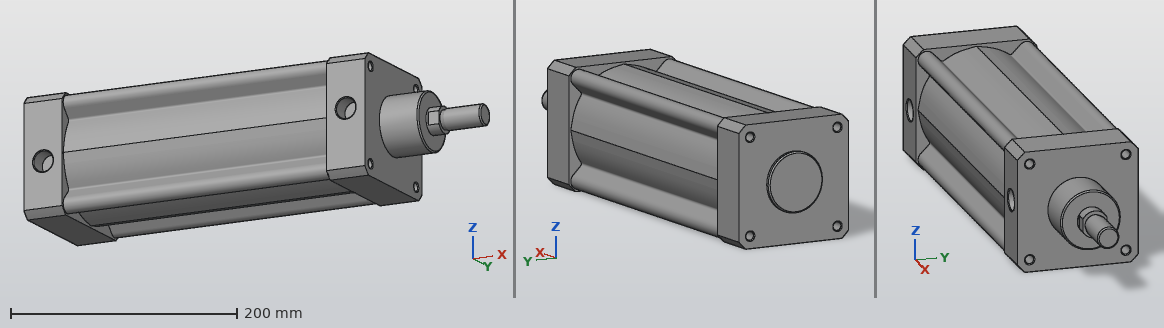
import cadquery as cq
import math


TOTAL_LENGTH = 433.0
REAR_BOSS_LENGTH = 4.0
CAP_THICKNESS = 38.0
REAR_CAP_X = REAR_BOSS_LENGTH
TUBE_START_X = REAR_CAP_X + CAP_THICKNESS
TUBE_END_X = 304.0
FRONT_CAP_END_X = TUBE_END_X + CAP_THICKNESS
NOSE_END_X = 380.5
FLATS_START_X = 382.5
SHANK_END_X = 392.7
NECK_END_X = 394.0
THREAD_START_X = 397.0

CAP_SIDE = 112.0
CAP_CORNER_RADIUS = 74.5
BOSS_RADIUS = 27.5
BOSS_CHAMFER = 1.5

PORT_RADIUS = 9.5
PORT_CHAMFER = 1.0
PORT_DEPTH = 17.5
PORT_OFFSET = 6.0

BOLT_OFFSET = 44.5
BOLT_RADIUS = 4.0
BOLT_CHAMFER = 1.0
BOLT_DEPTH = 17.5

BARREL_RADIUS = 53.3
RIDGE_HALF_WIDTH = 10.0
RIB_REACH = 54.0
RIB_RADIUS = 8.0
RIB_OFFSET = RIB_REACH - RIB_RADIUS
RIB_ROOT_FILLET = 2.0

TOLERANCE = 0.005

SHANK_RADIUS = 12.5
FLAT_WIDTH = 22.0
NECK_RADIUS = 9.0
THREAD_RADIUS = 10.0
THREAD_CHAMFER = 1.5


def disc_along_x(start, end, radius):
    """Round bar on the X axis between two stations."""
    return cq.Workplane("YZ", origin=(start, 0, 0)).circle(radius).extrude(end - start)


def chamfered_hole(origin, direction, radius, chamfer, depth):
    """Cutter for a blind hole with a chamfered mouth, drilled from origin along direction."""
    profile = [
        (0, 0),
        (radius + chamfer, 0),
        (radius, chamfer),
        (radius, depth),
        (0, depth),
    ]
    plane = cq.Plane(origin=origin, xDir=(0, 0, 1), normal=direction)
    cone = cq.Workplane("XZ").polyline(profile).close().revolve(360, (0, 0, 0), (0, 1, 0))
    return cone.val().moved(cq.Location(plane))


def make_cap(start_x, outer_face_x, inward, port_z):
    """Square end cap with corners turned about the X axis, one air port and four mounting holes."""
    cap = (
        cq.Workplane("YZ", origin=(start_x, 0, 0))
        .rect(CAP_SIDE, CAP_SIDE)
        .extrude(CAP_THICKNESS)
        .intersect(disc_along_x(start_x, start_x + CAP_THICKNESS, CAP_CORNER_RADIUS))
    )
    port_mouth = (start_x + CAP_THICKNESS / 2, -CAP_SIDE / 2, port_z)
    cap = cap.cut(chamfered_hole(port_mouth, (0, 1, 0), PORT_RADIUS, PORT_CHAMFER, PORT_DEPTH))
    for y in (-BOLT_OFFSET, BOLT_OFFSET):
        for z in (-BOLT_OFFSET, BOLT_OFFSET):
            mouth = (outer_face_x, y, z)
            cap = cap.cut(chamfered_hole(mouth, (inward, 0, 0), BOLT_RADIUS, BOLT_CHAMFER, BOLT_DEPTH))
    return cap


def make_rear_cap():
    """Rear cap with its short centring boss."""
    cap = make_cap(REAR_CAP_X, REAR_CAP_X, 1, -PORT_OFFSET)
    boss = disc_along_x(0, TUBE_START_X, BOSS_RADIUS).faces("<X").chamfer(BOSS_CHAMFER)
    return cap.union(boss)


def make_front_cap():
    """Front cap with its long nose, bored through for the rod shank."""
    cap = make_cap(TUBE_END_X, FRONT_CAP_END_X, -1, PORT_OFFSET)
    nose = disc_along_x(FRONT_CAP_END_X, NOSE_END_X, BOSS_RADIUS).faces(">X").chamfer(BOSS_CHAMFER)
    bore = disc_along_x(TUBE_END_X, NOSE_END_X, SHANK_RADIUS)
    return cap.union(nose).cut(bore)


def lies_on_rib_root(edge):
    """True for a lengthwise edge where a rib flank meets the round barrel."""
    centre = edge.Center()
    on_barrel = math.isclose(math.hypot(centre.y, centre.z), BARREL_RADIUS, abs_tol=TOLERANCE)
    off_diagonal = abs(abs(centre.y) - abs(centre.z)) / math.sqrt(2)
    return on_barrel and math.isclose(off_diagonal, RIB_RADIUS, abs_tol=TOLERANCE)


def make_tube():
    """Tube between the caps, with ribs on the diagonals and ridges on the four sides."""
    length = TUBE_END_X - TUBE_START_X
    section = cq.Workplane("YZ", origin=(TUBE_START_X, 0, 0))
    barrel = disc_along_x(TUBE_START_X, TUBE_END_X, BARREL_RADIUS)

    rib_centre = RIB_OFFSET * math.sqrt(2)
    rib_pair = section.slot2D(2 * (rib_centre + RIB_RADIUS), 2 * RIB_RADIUS).extrude(length)
    for angle in (45, 135):
        barrel = barrel.union(rib_pair.rotate((0, 0, 0), (1, 0, 0), angle))
    barrel = barrel.edges("|X").filter(lies_on_rib_root).fillet(RIB_ROOT_FILLET)

    tangent_y = math.sqrt(BARREL_RADIUS**2 - RIDGE_HALF_WIDTH**2)
    peak_y = BARREL_RADIUS**2 / tangent_y
    ridge = (
        section.moveTo(0, 0)
        .lineTo(tangent_y, -RIDGE_HALF_WIDTH)
        .lineTo(peak_y, 0)
        .lineTo(tangent_y, RIDGE_HALF_WIDTH)
        .close()
        .extrude(length)
    )
    for angle in (0, 90, 180, 270):
        barrel = barrel.union(ridge.rotate((0, 0, 0), (1, 0, 0), angle))
    return barrel


def make_rod():
    """Piston rod: shank with two wrench flats, short neck and chamfered thread."""
    thread_tip_x = TOTAL_LENGTH - THREAD_CHAMFER
    half_profile = [
        (TUBE_END_X, 0),
        (TUBE_END_X, SHANK_RADIUS),
        (SHANK_END_X, SHANK_RADIUS),
        (SHANK_END_X, NECK_RADIUS),
        (NECK_END_X, NECK_RADIUS),
        (THREAD_START_X, THREAD_RADIUS),
        (thread_tip_x, THREAD_RADIUS),
        (TOTAL_LENGTH, THREAD_RADIUS - THREAD_CHAMFER),
        (TOTAL_LENGTH, 0),
    ]
    rod = cq.Workplane("XY").polyline(half_profile).close().revolve(360, (0, 0, 0), (1, 0, 0))
    flats_length = SHANK_END_X - FLATS_START_X
    for side in (-1, 1):
        cutter = cq.Workplane("XY").box(flats_length, SHANK_RADIUS, 2 * SHANK_RADIUS)
        cutter_x = FLATS_START_X + flats_length / 2
        cutter_y = side * (FLAT_WIDTH + SHANK_RADIUS) / 2
        rod = rod.cut(cutter.translate((cutter_x, cutter_y, 0)))
    return rod


rear_cap = make_rear_cap()
tube = make_tube()
front_cap = make_front_cap()
rod = make_rod()
result = cq.Compound.makeCompound([rear_cap.val(), tube.val(), front_cap.val(), rod.val()])